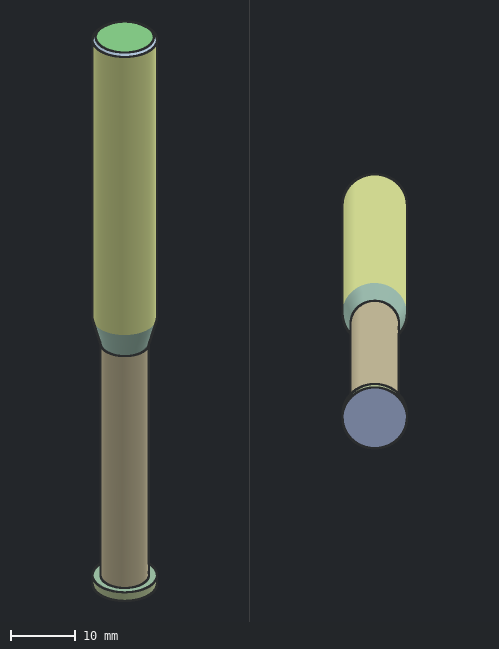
import cadquery as cq

total_length = 100.0
barrel_diameter = 10.0
stem_diameter = 7.5
flange_thickness = 1.6
taper_bottom = 44.0
taper_top = 48.6
tip_chamfer = 0.5

barrel_radius = barrel_diameter / 2
stem_radius = stem_diameter / 2


def make_flange():
    """Flat disc at the foot of the stem."""
    return cq.Workplane("XY").circle(barrel_radius).extrude(flange_thickness)


def make_stem():
    """Plain round rod between the flange and the tapered barrel."""
    return (
        cq.Workplane("XY")
        .workplane(offset=flange_thickness)
        .circle(stem_radius)
        .extrude(taper_bottom - flange_thickness)
    )


def make_barrel():
    """Round barrel tapering down to the stem, with a chamfered top rim."""
    profile = [
        (0, taper_bottom),
        (stem_radius, taper_bottom),
        (barrel_radius, taper_top),
        (barrel_radius, total_length - tip_chamfer),
        (barrel_radius - tip_chamfer, total_length),
        (0, total_length),
    ]
    return cq.Workplane("XZ").polyline(profile).close().revolve(360, (0, 0, 0), (0, 1, 0))


flange = make_flange()
stem = make_stem()
barrel = make_barrel()

result = cq.Compound.makeCompound([flange.val(), stem.val(), barrel.val()])